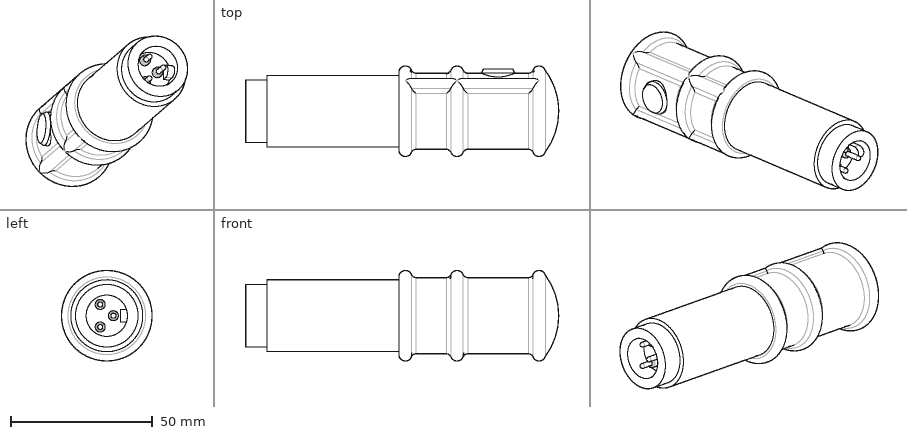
import cadquery as cq
import math

length = 110.4
nose_length = 7.5
ring_centers = (56.3, 74.5, 103.5)
dome_start = 105.7
bore_depth = 8.4

nose_radius = 11.0
body_radius = 12.7
barrel_radius = 13.5
bore_radius = 7.3

outer_radius = 16.0
bead_radius = 2.3
bead_center_radius = outer_radius - bead_radius
rib_angle = 47.5
fillet_radius = 1.8
dome_rim_radius = bead_center_radius + math.sqrt(bead_radius**2 - (dome_start - ring_centers[-1]) ** 2)

button_x = 89.0
button_radius = 6.0
button_top = 14.9
button_chamfer_width = 0.8
button_chamfer_height = button_top - barrel_radius

key_radius = 2.2
key_front = 3.3
key_inner = 4.7

pin_y = 2.3
pin_z = 4.0
pin_radius = 0.9
collar_radius = 1.8
collar_length = 2.0
collar_fillet = 0.4
pin_embed = 4.4
short_pin_tip = 1.5
long_pin_tip = 0.0
pin_end = bore_depth + pin_embed
pin_places = (
    (pin_y, pin_z, short_pin_tip),
    (pin_y, -pin_z, short_pin_tip),
    (-pin_y, 0.0, long_pin_tip),
)


def x_cylinder(radius, start, end, y=0.0, z=0.0):
    return cq.Workplane("YZ", origin=(start, y, z)).circle(radius).extrude(end - start)


def revolve_about_x(profile):
    return profile.close().revolve(360, (0, 0, 0), (1, 0, 0))


def make_ring(center):
    """Full torus around the X axis."""
    return (
        cq.Workplane("XY")
        .center(center, bead_center_radius)
        .circle(bead_radius)
        .revolve(360, (0, -bead_center_radius, 0), (1, -bead_center_radius, 0))
    )


def make_ring_fillet(center, side):
    """Concave revolved fillet between the barrel and one side of a ring."""
    fillet_center_radius = barrel_radius + fillet_radius
    reach = bead_radius + fillet_radius
    rise = fillet_center_radius - bead_center_radius
    run = math.sqrt(reach**2 - rise**2)
    fillet_x = center + side * run
    touch = bead_radius / reach
    touch_x = center + side * run * touch
    touch_radius = bead_center_radius + rise * touch
    start_angle = math.atan2(touch_radius - fillet_center_radius, touch_x - fillet_x) % (2 * math.pi)
    middle_angle = (start_angle + 1.5 * math.pi) / 2
    middle = (
        fillet_x + fillet_radius * math.cos(middle_angle),
        fillet_center_radius + fillet_radius * math.sin(middle_angle),
    )
    base_radius = barrel_radius - bead_radius / 2
    return revolve_about_x(
        cq.Workplane("XY")
        .moveTo(center, base_radius)
        .lineTo(center, touch_radius)
        .lineTo(touch_x, touch_radius)
        .threePointArc(middle, (fillet_x, barrel_radius))
        .lineTo(fillet_x, base_radius)
    )


def make_rib(start, end, side):
    """Round rod half sunk in the barrel and blended into it by a concave fillet on each flank."""
    fillet_center_radius = barrel_radius + fillet_radius
    reach = bead_radius + fillet_radius
    spread = math.acos(
        (bead_center_radius**2 + fillet_center_radius**2 - reach**2)
        / (2 * bead_center_radius * fillet_center_radius)
    )
    fillet_y = fillet_center_radius * math.cos(spread)
    fillet_z = fillet_center_radius * math.sin(spread)
    web = (
        cq.Workplane("YZ", origin=(start, 0, 0))
        .polyline([(0, 0), (fillet_y, fillet_z), (bead_center_radius, 0), (fillet_y, -fillet_z)])
        .close()
        .extrude(end - start)
    )
    for flank in (-1, 1):
        web = web.cut(x_cylinder(fillet_radius, start, end, fillet_y, flank * fillet_z))
    rib = web.union(x_cylinder(bead_radius, start, end, bead_center_radius))
    return rib.rotate((0, 0, 0), (1, 0, 0), side * rib_angle)


def make_core():
    """Stepped round body with the flat face of the first ring and the domed end."""
    ring_face = ring_centers[0] - bead_radius
    bulge = length - dome_start
    dome_radius = (dome_rim_radius**2 + bulge**2) / (2 * bulge)
    half_angle = math.asin(dome_rim_radius / dome_radius) / 2
    dome_middle = (
        length - dome_radius * (1 - math.cos(half_angle)),
        dome_radius * math.sin(half_angle),
    )
    return revolve_about_x(
        cq.Workplane("XY")
        .moveTo(0, 0)
        .lineTo(0, nose_radius)
        .lineTo(nose_length, nose_radius)
        .lineTo(nose_length, body_radius)
        .lineTo(ring_face, body_radius)
        .lineTo(ring_face, bead_center_radius)
        .lineTo(ring_centers[0], bead_center_radius)
        .lineTo(ring_centers[0], barrel_radius)
        .lineTo(ring_centers[-1], barrel_radius)
        .lineTo(ring_centers[-1], dome_rim_radius)
        .lineTo(dome_start, dome_rim_radius)
        .threePointArc(dome_middle, (length, 0))
    )


def make_button():
    """Round button with a chamfered rim, standing on the barrel."""
    shoulder = button_top - button_chamfer_height
    return (
        cq.Workplane("XY")
        .moveTo(button_x, 0)
        .lineTo(button_x + button_radius, 0)
        .lineTo(button_x + button_radius, shoulder)
        .lineTo(button_x + button_radius - button_chamfer_width, button_top)
        .lineTo(button_x, button_top)
        .close()
        .revolve(360, (button_x, 0, 0), (button_x, 1, 0))
    )


def make_key():
    """Key on the bore wall with a half-round front end."""
    outer = (bore_radius + nose_radius) / 2
    center_x = key_front + key_radius
    height = outer - key_inner
    nose = cq.Workplane("XZ", origin=(center_x, -key_inner, 0)).circle(key_radius).extrude(height)
    shank = cq.Workplane("XY").box(
        bore_depth - center_x, height, 2 * key_radius, centered=(False, False, True)
    ).translate((center_x, -outer, 0))
    return nose.union(shank).intersect(x_cylinder(outer, 0, bore_depth))


def make_pin(y, z, tip):
    """Contact with a hemispherical tip and a rounded collar standing on the bore floor."""
    arc_offset = pin_radius * math.sqrt(0.5)
    contact = revolve_about_x(
        cq.Workplane("XY")
        .moveTo(tip, 0)
        .threePointArc((tip + pin_radius - arc_offset, arc_offset), (tip + pin_radius, pin_radius))
        .lineTo(pin_end, pin_radius)
        .lineTo(pin_end, 0)
    )
    collar = x_cylinder(collar_radius, bore_depth - collar_length, bore_depth)
    collar = collar.faces("<X").edges().fillet(collar_fillet)
    return contact.union(collar).translate((0, y, z))


housing = make_core()
for ring_center in ring_centers:
    housing = housing.union(make_ring(ring_center))
for ring_center in ring_centers[:-1]:
    housing = housing.union(make_ring_fillet(ring_center, 1))
for ring_center in ring_centers[1:]:
    housing = housing.union(make_ring_fillet(ring_center, -1))
for bay_start, bay_end in zip(ring_centers[:-1], ring_centers[1:]):
    for rib_side in (-1, 1):
        housing = housing.union(make_rib(bay_start, bay_end, rib_side))
housing = housing.union(make_button())
housing = housing.cut(x_cylinder(bore_radius, 0, bore_depth))
housing = housing.union(make_key())

pins = []
for y, z, tip in pin_places:
    housing = housing.cut(x_cylinder(pin_radius, bore_depth, pin_end, y, z))
    pins.append(make_pin(y, z, tip))

result = cq.Compound.makeCompound([housing.val(), *[pin.val() for pin in pins]])